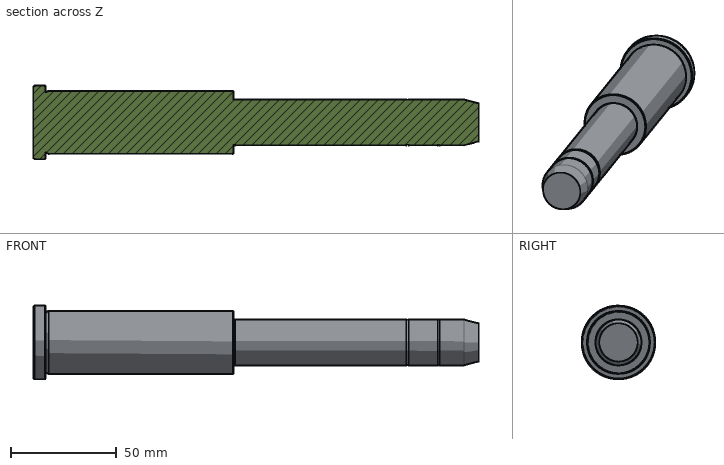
import cadquery as cq

total_length = 211.0

head_diameter = 35.0
head_length = 6.0
head_front_chamfer = 0.6
head_rear_chamfer = 0.5

body_diameter = 30.0
body_end = 95.0
body_chamfer = 0.5
body_relief_length = 1.5
body_relief_depth = 0.6

shaft_diameter = 22.0
shaft_relief_length = 0.6

wide_groove_start = 176.6
wide_groove_width = 1.3
narrow_groove_start = 191.5
narrow_groove_width = 0.8

groove_depth = 0.2

nose_length = 7.2
tip_diameter = 18.1

head_radius = head_diameter / 2
body_radius = body_diameter / 2
shaft_radius = shaft_diameter / 2
tip_radius = tip_diameter / 2
nose_start = total_length - nose_length


def add_head(profile):
    """Flange with both rims chamfered, starting on the axis."""
    return (
        profile.moveTo(0, 0)
        .lineTo(0, head_radius - head_front_chamfer)
        .lineTo(head_front_chamfer, head_radius)
        .lineTo(head_length - head_rear_chamfer, head_radius)
        .lineTo(head_length, head_radius - head_rear_chamfer)
    )


def add_body(profile):
    """Body from its relief cone to its chamfered end."""
    return (
        profile.lineTo(head_length, body_radius - body_relief_depth)
        .lineTo(head_length + body_relief_length, body_radius)
        .lineTo(body_end - body_chamfer, body_radius)
        .lineTo(body_end, body_radius - body_chamfer)
    )


def add_square_groove(profile, start, width):
    """Shaft groove with a flat floor."""
    floor_radius = shaft_radius - groove_depth
    return (
        profile.lineTo(start, floor_radius)
        .lineTo(start + width, floor_radius)
        .lineTo(start + width, shaft_radius)
    )


def add_round_groove(profile, start, width):
    """Shaft groove with a shallow arc for its floor."""
    deepest = (start + width / 2, shaft_radius - groove_depth)
    return profile.threePointArc(deepest, (start + width, shaft_radius))


def add_nose(profile):
    """Rest of the shaft and the conical nose, closing back along the axis."""
    return (
        profile.lineTo(nose_start, shaft_radius)
        .lineTo(total_length, tip_radius)
        .lineTo(total_length, 0)
        .close()
    )


half_section = add_head(cq.Workplane("XY"))
half_section = add_body(half_section)
half_section = add_square_groove(half_section, body_end, shaft_relief_length)
half_section = half_section.lineTo(wide_groove_start, shaft_radius)
half_section = add_square_groove(half_section, wide_groove_start, wide_groove_width)
half_section = half_section.lineTo(narrow_groove_start, shaft_radius)
half_section = add_round_groove(half_section, narrow_groove_start, narrow_groove_width)
half_section = add_nose(half_section)

result = half_section.revolve(360, (0, 0, 0), (1, 0, 0))